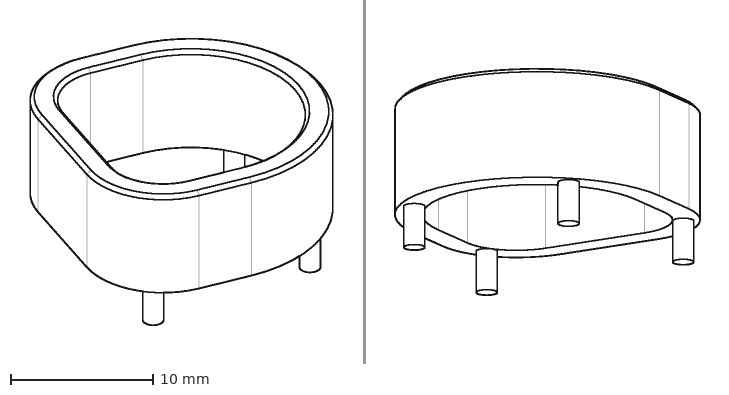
import cadquery as cq
import math

outer_width = 20.0
wall = 1.95
inner_corner_radius = 4.0
body_height = 8.0
top_chamfer = 0.3

pin_diameter = 1.5
pin_length = 3.0
pin_overlap = 0.5
back_pin_x = 6.3
back_pin_y = 6.3
front_pin_x = 8.02
front_pin_y = -6.68

outer_half_width = outer_width / 2
inner_half_width = outer_half_width - wall
outer_corner_radius = inner_corner_radius + wall


def loop_prism(half_width, corner_radius):
    """Prism with a half-circle back centred on the origin and two rounded front corners."""
    corner_center = half_width - corner_radius
    corner_mid = corner_center + corner_radius * math.sqrt(0.5)
    return (
        cq.Workplane("XY")
        .moveTo(half_width, 0)
        .threePointArc((0, half_width), (-half_width, 0))
        .lineTo(-half_width, -corner_center)
        .threePointArc((-corner_mid, -corner_mid), (-corner_center, -half_width))
        .lineTo(corner_center, -half_width)
        .threePointArc((corner_mid, -corner_mid), (half_width, -corner_center))
        .close()
        .extrude(body_height)
    )


def ring():
    """Hollow loop with both edges of its top face chamfered."""
    outer = loop_prism(outer_half_width, outer_corner_radius)
    opening = loop_prism(inner_half_width, inner_corner_radius)
    return outer.cut(opening).faces(">Z").edges().chamfer(top_chamfer)


def pins():
    """Two back pins and two front pins, rooted slightly inside the ring wall."""
    centers = []
    for side in (-1, 1):
        centers.append((side * back_pin_x, back_pin_y))
        centers.append((side * front_pin_x, front_pin_y))
    return (
        cq.Workplane("XY")
        .workplane(offset=-pin_length)
        .pushPoints(centers)
        .circle(pin_diameter / 2)
        .extrude(pin_length + pin_overlap)
    )


result = ring().union(pins())